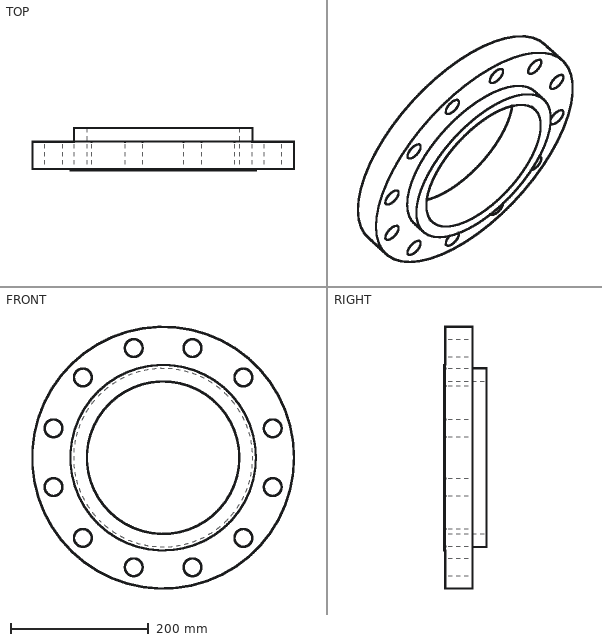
import cadquery as cq

flange_diameter = 381.0
raised_face_diameter = 269.7
hub_diameter = 260.2
bore_diameter = 221.5
bolt_circle_diameter = 330.0
bolt_hole_diameter = 25.5

total_length = 62.0
flange_thickness = 40.0
raised_face_height = 2.0
hub_length = total_length - flange_thickness - raised_face_height

bolt_count = 12
first_bolt_angle = 360 / bolt_count / 2


def disc(diameter, start_y, length):
    """Solid disc about the Y axis, running from start_y towards +Y."""
    return cq.Workplane("XZ", origin=(0, start_y, 0)).circle(diameter / 2).extrude(-length)


def bolt_holes():
    """Ring of cylinders that cut right through the flange."""
    return (
        cq.Workplane("XZ")
        .polarArray(bolt_circle_diameter / 2, first_bolt_angle, 360, bolt_count)
        .circle(bolt_hole_diameter / 2)
        .extrude(-total_length)
    )


raised_face = disc(raised_face_diameter, 0, raised_face_height)
flange = disc(flange_diameter, raised_face_height, flange_thickness)
hub = disc(hub_diameter, raised_face_height + flange_thickness, hub_length)
bore = disc(bore_diameter, 0, total_length)

result = raised_face.union(flange).union(hub).cut(bore).cut(bolt_holes())